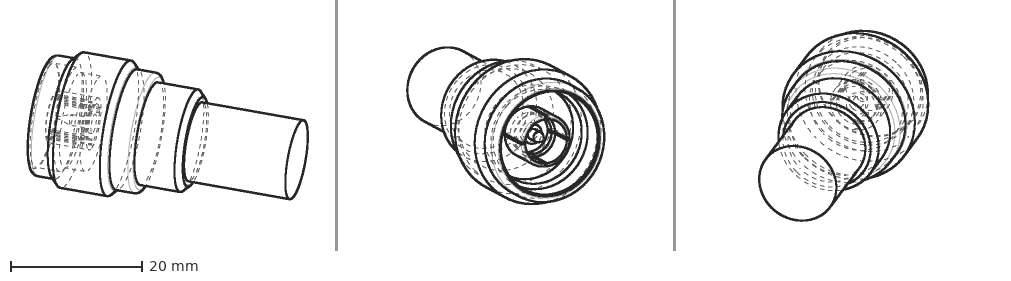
import cadquery as cq

TOTAL_LENGTH = 40.15

NUT_DIAMETER = 18.7
NUT_LENGTH = 16.75
NUT_FRONT_FILLET = 0.8
NUT_REAR_FILLET = 0.65
GRIP_DIAMETER = 21.0
GRIP_START = 3.4
GRIP_BEVEL = (GRIP_DIAMETER - NUT_DIAMETER) / 2
GRIP_END = 12.0
GRIP_REAR_BEVEL = 0.97
GRIP_REAR_END = 13.2

BODY_DIAMETER = 15.9
BODY_END = 24.1
BODY_BEVEL = 1.0
SLEEVE_DIAMETER = 12.25

MOUTH_DIAMETER = 16.55
BORE_DIAMETER = 16.1
MOUTH_BEVEL = (MOUTH_DIAMETER - BORE_DIAMETER) / 2
INNER_BORE_DIAMETER = 14.73
BORE_TAPER = (BORE_DIAMETER - INNER_BORE_DIAMETER) / 2
BORE_END = 4.0
CAVITY_DEPTH = 7.95

RING_DIAMETER = 8.06
RING_TIP_DIAMETER = 7.46
RING_TIP_FILLET = (RING_DIAMETER - RING_TIP_DIAMETER) / 2
RING_MOUTH_DIAMETER = 6.9
RING_BORE_DIAMETER = 6.2
RING_TAPER_START = 5.85
RING_TAPER_LENGTH = 0.6
RING_START = 1.4
SLOT_WIDTH = 0.3

PIN_DIAMETER = 1.65
PIN_TIP = 1.83
PIN_TIP_LENGTH = 2.5
PIN_SHOULDER_DIAMETER = 3.03
PIN_SHOULDER_START = 6.5


def revolve_about_x(profile):
    return profile.close().revolve(360, (0, 0, 0), (1, 0, 0))


def cylinder(diameter, start, end):
    return cq.Workplane("YZ", origin=(start, 0, 0)).circle(diameter / 2).extrude(end - start)


def make_outside():
    nut = cylinder(NUT_DIAMETER, 0, NUT_LENGTH)
    nut = nut.faces("<X").edges().fillet(NUT_FRONT_FILLET)
    nut = nut.faces(">X").edges().fillet(NUT_REAR_FILLET)
    grip = revolve_about_x(
        cq.Workplane("XY")
        .moveTo(GRIP_START, 0)
        .lineTo(GRIP_START, NUT_DIAMETER / 2)
        .lineTo(GRIP_START + GRIP_BEVEL, GRIP_DIAMETER / 2)
        .lineTo(GRIP_END, GRIP_DIAMETER / 2)
        .lineTo(GRIP_END + GRIP_REAR_BEVEL, GRIP_DIAMETER / 2 - GRIP_REAR_BEVEL)
        .lineTo(GRIP_REAR_END, NUT_DIAMETER / 2)
        .lineTo(GRIP_REAR_END, 0)
    )
    body = cylinder(BODY_DIAMETER, GRIP_END, BODY_END).faces(">X").chamfer(BODY_BEVEL)
    sleeve = cylinder(SLEEVE_DIAMETER, GRIP_END, TOTAL_LENGTH)
    return nut.union(grip).union(body).union(sleeve)


def make_cavity():
    return revolve_about_x(
        cq.Workplane("XY")
        .lineTo(0, MOUTH_DIAMETER / 2)
        .lineTo(MOUTH_BEVEL, BORE_DIAMETER / 2)
        .lineTo(BORE_END, BORE_DIAMETER / 2)
        .lineTo(BORE_END + BORE_TAPER, INNER_BORE_DIAMETER / 2)
        .lineTo(CAVITY_DEPTH, INNER_BORE_DIAMETER / 2)
        .lineTo(CAVITY_DEPTH, 0)
    )


def make_contact_ring():
    ring = revolve_about_x(
        cq.Workplane("XY")
        .moveTo(RING_START, RING_MOUTH_DIAMETER / 2)
        .lineTo(RING_START, RING_TIP_DIAMETER / 2)
        .radiusArc((RING_START + RING_TIP_FILLET, RING_DIAMETER / 2), RING_TIP_FILLET)
        .lineTo(CAVITY_DEPTH, RING_DIAMETER / 2)
        .lineTo(CAVITY_DEPTH, RING_BORE_DIAMETER / 2)
        .lineTo(RING_TAPER_START + RING_TAPER_LENGTH, RING_BORE_DIAMETER / 2)
        .lineTo(RING_TAPER_START, RING_MOUTH_DIAMETER / 2)
    )
    slot = cq.Workplane("XY").box(CAVITY_DEPTH, RING_DIAMETER, SLOT_WIDTH)
    slot = slot.translate((CAVITY_DEPTH / 2, 0, 0))
    return ring.cut(slot).cut(slot.rotate((0, 0, 0), (1, 0, 0), 90))


def make_pin():
    return revolve_about_x(
        cq.Workplane("XY")
        .moveTo(PIN_TIP, 0)
        .lineTo(PIN_TIP + PIN_TIP_LENGTH, PIN_DIAMETER / 2)
        .lineTo(PIN_SHOULDER_START, PIN_DIAMETER / 2)
        .lineTo(PIN_SHOULDER_START, PIN_SHOULDER_DIAMETER / 2)
        .lineTo(CAVITY_DEPTH, PIN_SHOULDER_DIAMETER / 2)
        .lineTo(CAVITY_DEPTH, 0)
    )


result = make_outside().cut(make_cavity()).union(make_contact_ring()).union(make_pin())